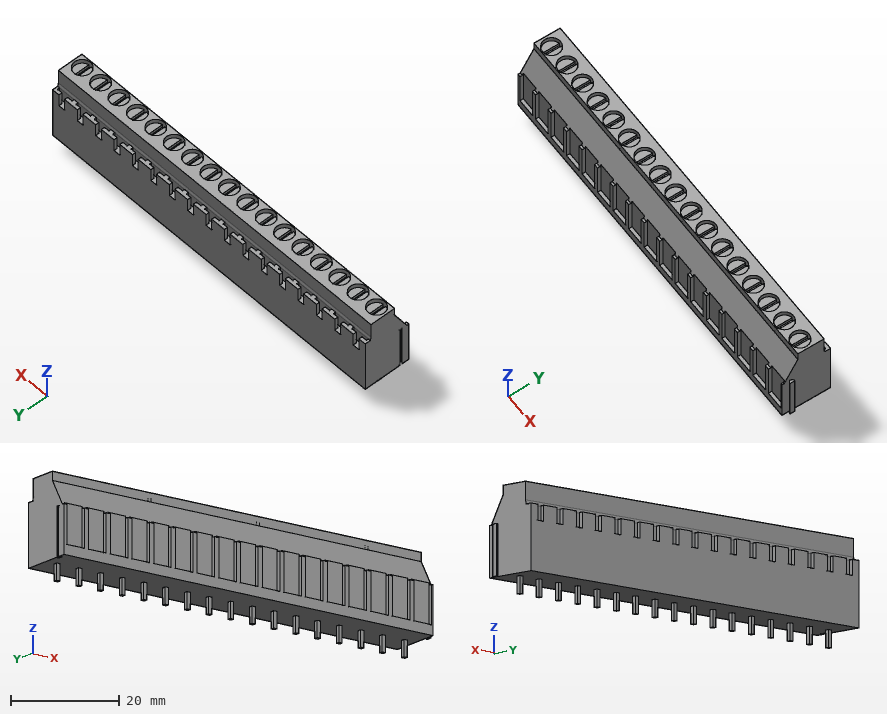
import cadquery as cq

pole_count = 17
overall_length = 85.65
overall_height = 20.3
body_length = 85.05
pole_pitch = body_length / pole_count
pole_centers = [(i + 0.5) * pole_pitch for i in range(pole_count)]

body_depth = 11.0
body_height = 17.0
front_wall_height = 9.85
front_ledge_depth = 0.5
neck_front = 3.6
neck_back = 9.5
neck_front_wall = 1.8
back_ledge_height = 12.7
back_ledge_inner_edge = 9.7
back_slant_height = 0.8

window_width = 4.0
window_offset = 0.2
window_depth = 0.8
window_bottom = 2.05

pocket_width = 3.9
pocket_back_wall = 0.8
pocket_slot_width = 1.5
pocket_depth = 3.0

screw_diameter = 4.0
screw_center_y = 5.8
screw_recess = 1.0
screw_slot_width = 0.7
screw_slot_depth = 0.7

pin_width = 0.8
pin_length = overall_height - body_height
pin_center_y = 5.5

dovetail_height = front_wall_height
dovetail_center_y = 2.0
dovetail_neck = 0.5
dovetail_head = 1.1
dovetail_lip = 0.2
dovetail_reach = overall_length - body_length


def box(width, depth, height, center_x, front_y, bottom_z):
    """Box centred on center_x, starting at front_y and bottom_z."""
    corner = (center_x - width / 2, front_y, bottom_z)
    return cq.Workplane("XY").box(width, depth, height, centered=False).translate(corner)


def make_body():
    profile = [
        (0, 0),
        (0, front_wall_height),
        (front_ledge_depth, front_wall_height),
        (neck_front, body_height - neck_front_wall),
        (neck_front, body_height),
        (neck_back, body_height),
        (neck_back, back_ledge_height + back_slant_height),
        (back_ledge_inner_edge, back_ledge_height),
        (body_depth, back_ledge_height),
        (body_depth, 0),
    ]
    return cq.Workplane("YZ").polyline(profile).close().extrude(body_length)


def make_window(x):
    window_height = body_height - window_bottom
    return box(window_width, window_depth, window_height, x, 0, window_bottom)


def make_marker_pocket(x):
    floor_z = back_ledge_height - pocket_depth
    outer_y = body_depth - pocket_back_wall
    thickness = outer_y - back_ledge_inner_edge
    pocket = box(pocket_width, thickness, pocket_depth, x, back_ledge_inner_edge, floor_z)
    slot = box(pocket_slot_width, pocket_back_wall, pocket_depth, x, outer_y, floor_z)
    return pocket.union(slot)


def make_screw_recess(x):
    screw_top = body_height - screw_recess
    recess = (
        cq.Workplane("XY", origin=(x, screw_center_y, screw_top))
        .circle(screw_diameter / 2)
        .extrude(screw_recess)
    )
    cylinder = (
        cq.Workplane("XY", origin=(x, screw_center_y, screw_top - screw_slot_depth))
        .circle(screw_diameter / 2)
        .extrude(screw_slot_depth)
    )
    slot_front = screw_center_y - screw_diameter / 2
    slot_bottom = screw_top - screw_slot_depth
    slot = box(screw_slot_width, screw_diameter, screw_slot_depth, x, slot_front, slot_bottom)
    return recess.union(slot.intersect(cylinder))


def make_pin(x):
    return box(pin_width, pin_width, pin_length, x, pin_center_y - pin_width / 2, -pin_length)


def make_dovetail(root_x):
    """Bar that flares from its neck at root_x toward +X and ends in a straight-sided lip."""
    tip_x = root_x + dovetail_reach
    flare_x = tip_x - dovetail_lip
    head_front = dovetail_center_y - dovetail_head / 2
    head_back = dovetail_center_y + dovetail_head / 2
    outline = [
        (root_x, dovetail_center_y - dovetail_neck / 2),
        (flare_x, head_front),
        (tip_x, head_front),
        (tip_x, head_back),
        (flare_x, head_back),
        (root_x, dovetail_center_y + dovetail_neck / 2),
    ]
    return cq.Workplane("XY").polyline(outline).close().extrude(dovetail_height)


result = make_body()
for center in pole_centers:
    result = result.cut(make_window(center + window_offset))
    result = result.cut(make_marker_pocket(center))
    result = result.cut(make_screw_recess(center))
    result = result.union(make_pin(center))

result = result.cut(make_dovetail(0))
result = result.union(make_dovetail(body_length))